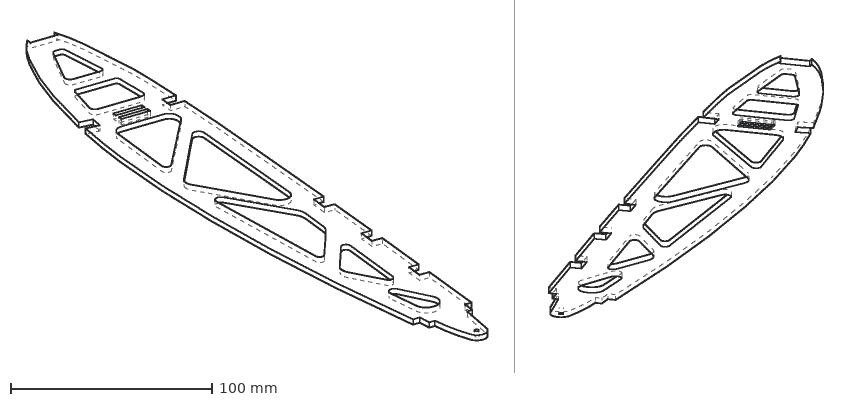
import cadquery as cq
import math

LENGTH = 402.16
THICKNESS = 3.0
HEIGHT = 62.13
TOP_Y = 20.77
BOTTOM_Y = TOP_Y - HEIGHT
PEAK_X = 127.0
BELLY_X = 165.0

SOCKET_DEPTH = 3.1
SOCKET_TOP = 8.6
SOCKET_BOTTOM = -7.5

STEP_1_X = 369.0
STEP_2_X = 376.2
STEP_1_TOP = (15.1, 11.1)
STEP_1_BOTTOM = (-19.7, -15.7)
STEP_2_TOP = (10.9, 7.8)
STEP_2_BOTTOM = (-14.8, -11.4)
TONGUE_UNDERSIDE = (384.0, -9.9)
TIP_RADIUS = 5.5
TIP_X = LENGTH - TIP_RADIUS
TIP_TOP_ANGLE = 82.0
TIP_BOTTOM_ANGLE = -68.0
PIN_DIAMETER = 2.2

UPPER_CURVE = [
    (0, SOCKET_TOP),
    (13.3, 12.7),
    (27.3, 15.1),
    (55.7, 18.9),
    (82.4, 20.1),
    (PEAK_X, TOP_Y),
    (168.4, 20.2),
    (248.9, 18.8),
    (328.9, 16.4),
    (STEP_1_X, STEP_1_TOP[0]),
]
LOWER_CURVE = [
    (0, SOCKET_BOTTOM),
    (7.3, -12.7),
    (17.0, -17.6),
    (32.7, -23.6),
    (66.6, -32.4),
    (103.0, -38.2),
    (BELLY_X, BOTTOM_Y),
    (216.8, -39.5),
    (290.7, -32.3),
    (STEP_1_X, STEP_1_BOTTOM[0]),
]

NOTCH_CUT = 15.0

SPAR_X = 92.7
SPAR_WIDTH = 7.5
SPAR_TOP_FLOOR = 12.1
SPAR_BOTTOM_FLOOR = -29.0
SPAR_BOTTOM_TILT = -7.0

STRINGER_WIDTH = 10.0
STRINGERS = [(228.5, 13.3), (273.5, 12.1), (318.5, 10.9)]
STRINGER_TILT = -1.7

SLOT_COUNT = 2
SLOT_WIDTH = 2.5
SLOT_HEIGHT = 17.0
SLOT_PITCH = 5.0
SLOT_FIRST_X = SPAR_X
SLOT_TOP = 0.0

WINDOWS = [
    [(17.7, -4.0, 2.5), (17.7, 2.2, 2.0), (49.2, 6.4, 2.0), (49.2, -16.6, 3.0)],
    [(60.0, -19.1, 2.0), (60.0, 6.9, 2.0), (84.2, 8.5, 3.0), (84.2, -24.0, 3.0)],
    [(107.2, -27.3, 6.0), (107.2, 8.6, 5.0), (115.5, 8.5, 3.0), (163.0, -29.5, 2.5)],
    [(126.0, 9.1, 3.2), (233.0, 7.3, 5.8), (177.5, -31.0, 6.0)],
    [(236.5, 1.3, 10.0), (259.3, 0.4, 10.0), (289.0, -20.4, 2.3), (192.6, -29.6, 3.0)],
    [(273.7, 0.2, 2.5), (330.9, -1.9, 2.5), (302.6, -20.1, 7.0)],
    [(322.4, -15.5, 3.0), (362.3, 8.4, 6.4), (362.3, -8.9, 6.4)],
]


def tip_point(angle):
    """Point on the rounded tail tip, at an angle in degrees from +X."""
    a = math.radians(angle)
    return (TIP_X + TIP_RADIUS * math.cos(a), TIP_RADIUS * math.sin(a))


def rib_blank():
    """Airfoil with nose socket and stepped tail."""
    outline = (
        cq.Workplane("XY")
        .moveTo(*UPPER_CURVE[0])
        .spline(UPPER_CURVE[1:], includeCurrent=True)
        .lineTo(STEP_1_X, STEP_1_TOP[1])
        .lineTo(STEP_2_X, STEP_2_TOP[0])
        .lineTo(STEP_2_X, STEP_2_TOP[1])
        .lineTo(*tip_point(TIP_TOP_ANGLE))
        .threePointArc((LENGTH, 0), tip_point(TIP_BOTTOM_ANGLE))
        .threePointArc(TONGUE_UNDERSIDE, (STEP_2_X, STEP_2_BOTTOM[1]))
        .lineTo(STEP_2_X, STEP_2_BOTTOM[0])
        .lineTo(STEP_1_X, STEP_1_BOTTOM[1])
        .lineTo(*LOWER_CURVE[-1])
        .spline(LOWER_CURVE[-2::-1], includeCurrent=True)
        .lineTo(SOCKET_DEPTH, SOCKET_BOTTOM)
        .lineTo(SOCKET_DEPTH, SOCKET_TOP)
        .close()
    )
    return outline.extrude(THICKNESS)


def notch(left, floor, width, height, tilt=0):
    """Cutter rising (or, with negative height, dropping) from the notch floor, tilted about its corner."""
    cutter = cq.Workplane("XY").rect(width, height, centered=False).extrude(THICKNESS)
    return cutter.rotate((0, 0, 0), (0, 0, 1), tilt).translate((left, floor, 0))


def window(corners):
    """Polygon cutter with every corner rounded by its own radius."""
    cutter = cq.Workplane("XY").polyline([(x, y) for x, y, _ in corners]).close().extrude(THICKNESS)
    for x, y, radius in corners:
        corner = cq.selectors.NearestToPointSelector((x, y, THICKNESS / 2))
        cutter = cutter.edges("|Z").edges(corner).fillet(radius)
    return cutter


def cut_spar_notches(rib):
    rib = rib.cut(notch(SPAR_X, SPAR_TOP_FLOOR, SPAR_WIDTH, NOTCH_CUT))
    return rib.cut(notch(SPAR_X, SPAR_BOTTOM_FLOOR, SPAR_WIDTH, -NOTCH_CUT, SPAR_BOTTOM_TILT))


def cut_stringer_notches(rib):
    for left, floor in STRINGERS:
        rib = rib.cut(notch(left, floor, STRINGER_WIDTH, NOTCH_CUT, STRINGER_TILT))
    return rib


def cut_slots(rib):
    for i in range(SLOT_COUNT):
        left = SLOT_FIRST_X + i * SLOT_PITCH
        rib = rib.cut(notch(left, SLOT_TOP, SLOT_WIDTH, -SLOT_HEIGHT))
    return rib


def cut_windows(rib):
    for corners in WINDOWS:
        rib = rib.cut(window(corners))
    return rib


def cut_pin_hole(rib):
    pin = cq.Workplane("XY").center(TIP_X, 0).circle(PIN_DIAMETER / 2).extrude(THICKNESS)
    return rib.cut(pin)


result = rib_blank()
result = cut_spar_notches(result)
result = cut_stringer_notches(result)
result = cut_slots(result)
result = cut_windows(result)
result = cut_pin_hole(result)